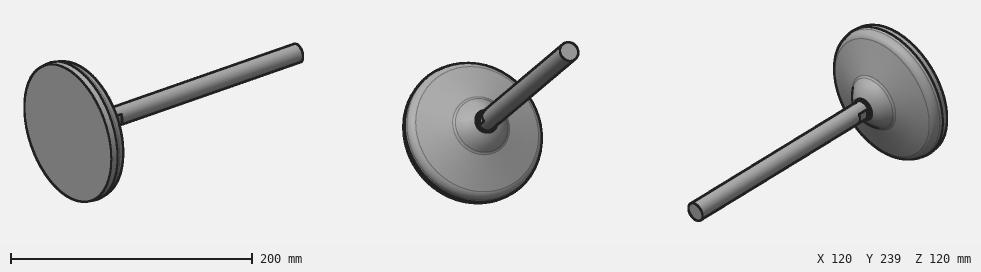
import cadquery as cq
import math

rim_radius = 60.0
rim_height = 6.0
rim_draft = 0.7
shoulder_start = 8.8
shoulder_radius = 7.6
cone_angle = math.radians(18.7)
dome_center = 12.2
dome_radius = 27.7
blend_radius = 3.5
selection_margin = 0.2
collar_radius = 9.5
collar_edge = 39.0
collar_top = 39.7

stem_radius = 8.1
stem_end = 239.0
flat_spacing = 13.5
flat_start = 41.0
flat_length = 9.5


def make_foot():
    shoulder_outer = rim_radius - rim_draft
    shoulder_center = shoulder_outer - shoulder_radius

    def shoulder_point(angle):
        return (
            shoulder_center + shoulder_radius * math.cos(angle),
            shoulder_start + shoulder_radius * math.sin(angle),
        )

    def dome_height(radius):
        return dome_center + math.sqrt(dome_radius**2 - radius**2)

    end_angle = math.pi / 2 - cone_angle
    cone_radius, cone_height = shoulder_point(end_angle)

    normal_distance = (cone_radius * math.sin(cone_angle)
                       + (cone_height - dome_center) * math.cos(cone_angle))
    junction_angle = end_angle - math.acos(normal_distance / dome_radius)
    junction_radius = dome_radius * math.cos(junction_angle)
    junction_height = dome_center + dome_radius * math.sin(junction_angle)
    middle_radius = (junction_radius + collar_radius) / 2

    foot = (
        cq.Workplane("XY")
        .lineTo(rim_radius - rim_draft, 0)
        .lineTo(rim_radius, rim_height)
        .lineTo(shoulder_outer, shoulder_start)
        .threePointArc(shoulder_point(end_angle / 2), (cone_radius, cone_height))
        .lineTo(junction_radius, junction_height)
        .threePointArc(
            (middle_radius, dome_height(middle_radius)),
            (collar_radius, dome_height(collar_radius)),
        )
        .lineTo(collar_radius, collar_edge)
        .lineTo(stem_radius, collar_top)
        .lineTo(0, collar_top)
        .close()
        .revolve(360, (0, 0, 0), (0, 1, 0))
    )
    junction = cq.selectors.BoxSelector(
        (-rim_radius, junction_height - selection_margin, -rim_radius),
        (rim_radius, junction_height + selection_margin, rim_radius),
    )
    return foot.edges(junction).fillet(blend_radius)


def make_stem():
    stem_length = stem_end - collar_top
    rod = (
        cq.Workplane("XZ", origin=(0, stem_end, 0))
        .circle(stem_radius)
        .extrude(stem_length)
    )
    flat_band = cq.Workplane("XY").box(2 * stem_radius, flat_length, 2 * stem_radius)
    core = cq.Workplane("XY").box(flat_spacing, flat_length, 2 * stem_radius)
    flat_cut = flat_band.cut(core).translate((0, flat_start + flat_length / 2, 0))
    return rod.cut(flat_cut)


foot = make_foot()
stem = make_stem()
result = cq.Compound.makeCompound([foot.val(), stem.val()])